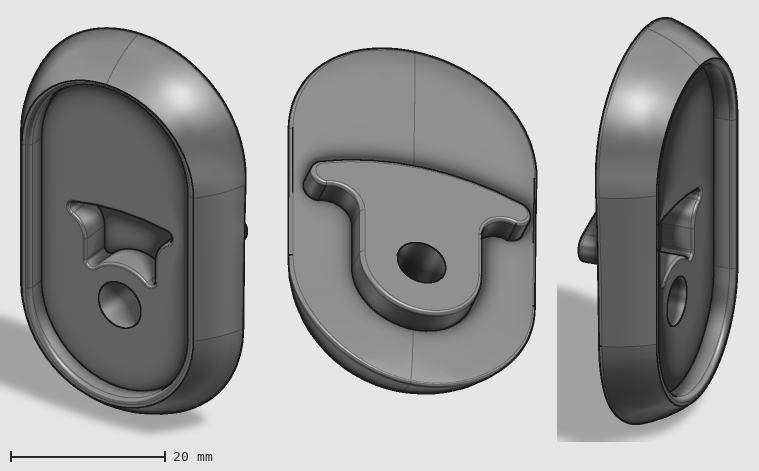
import cadquery as cq
import math

upper_center_z = 10.25
lower_center_z = -10.8
straight_length = upper_center_z - lower_center_z
front_y = -5.0
flank_mid = (15.85, -1.2)
flank_back = (17.15, 2.85)
flank_front = (12.5, -5.85)
back_edge_round = 0.45

back_curve = [(0.55, -28.4), (1.4, -24.6), (1.75, -16.4), (1.85, -2.75), (2.15, 10.1), (2.5, 18.05), (2.45, 28.4)]
front_tip_y = -5.85
body_reach = 28.4

tray_radius = 12.15
tray_floor_y = -2.2
tray_rim_round = 0.65

hole_center_z = lower_center_z
hole_radius = 3.3

boss_root_y = 0.0
boss_back_y = 5.45
boss_radius = 8.3
boss_half_width = 14.95
boss_neck_z = -3.95
boss_flare_end = (12.9, -0.9)
boss_tip_z = 1.2
boss_shoulder = (13.45, 3.05)
boss_top_z = 5.55
boss_edge_round = 0.55

recess_floor_y = 2.35
recess_top_z = 2.85
recess_shoulder = (7.2, 2.15)
recess_flare_end = (7.45, 0.5)
recess_neck_x = 5.35
recess_neck_top_z = -2.75
recess_neck_bottom_z = -5.8
recess_arc_radius = 5.95
recess_arc_x = 4.0
recess_edge_round = 0.4


def front_plane(y):
    """XZ sketch plane at the given Y, whose extrusions run toward +Y when negative."""
    return cq.Workplane("XZ", origin=(0, y, 0))


def flank_profile(plane):
    """Half section of the plate, from its middle out to the bulging flank."""
    return (
        plane.moveTo(0, flank_front[1])
        .lineTo(*flank_front)
        .threePointArc(flank_mid, flank_back)
        .lineTo(0, flank_back[1])
        .close()
    )


def oval(radius, y_start, y_end):
    middle_z = (upper_center_z + lower_center_z) / 2
    return (
        front_plane(y_start)
        .center(0, middle_z)
        .slot2D(straight_length + 2 * radius, 2 * radius, 90)
        .extrude(y_start - y_end)
    )


def make_plate():
    section = flank_profile(cq.Workplane("XY", origin=(0, 0, lower_center_z)))
    half = section.extrude(straight_length)
    for center_z, axis_end in ((lower_center_z, (0, 1)), (upper_center_z, (0, -1))):
        section = flank_profile(cq.Workplane("XY", origin=(0, 0, center_z)))
        half = half.union(section.revolve(90, (0, 0), axis_end))
    bend_rise = body_reach - upper_center_z
    bend_run = front_y - front_tip_y
    front_bend_radius = (bend_rise**2 + bend_run**2) / (2 * bend_run)
    envelope = (
        cq.Workplane("YZ")
        .moveTo(front_y, -body_reach)
        .lineTo(*back_curve[0])
        .spline(back_curve[1:], includeCurrent=True)
        .lineTo(front_tip_y, body_reach)
        .radiusArc((front_y, upper_center_z), front_bend_radius)
        .close()
        .extrude(body_reach, both=True)
    )
    half = half.intersect(envelope)
    half = half.faces(">Y").edges("not <X").fillet(back_edge_round)
    return half.union(half.mirror("YZ"))


def tray_rim_edges():
    """Box that holds the tray mouth edges but not the outer edges of the front face."""
    reach_x = tray_radius + 0.1
    reach_z = tray_radius + 0.3
    return cq.selectors.BoxSelector(
        (-reach_x, front_tip_y, lower_center_z - reach_z),
        (reach_x, front_y + 0.15, upper_center_z + reach_z),
        boundingbox=True,
    )


def mirrored(point):
    return (-point[0], point[1])


def make_boss():
    tip = (boss_half_width, boss_tip_z)
    neck = (boss_radius, boss_neck_z)
    side = (boss_radius, hole_center_z)
    boss = (
        front_plane(boss_root_y)
        .moveTo(*side)
        .lineTo(*neck)
        .tangentArcPoint(boss_flare_end, relative=False)
        .threePointArc(tip, boss_shoulder)
        .threePointArc((0, boss_top_z), mirrored(boss_shoulder))
        .threePointArc(mirrored(tip), mirrored(boss_flare_end))
        .radiusArc(mirrored(neck), flare_radius())
        .lineTo(*mirrored(side))
        .threePointArc((0, hole_center_z - boss_radius), side)
        .close()
        .extrude(boss_root_y - boss_back_y)
    )
    return boss.faces(">Y").edges().fillet(boss_edge_round)


def flare_radius():
    """Radius of the arc that leaves the boss neck vertically and meets the flare end."""
    run = boss_flare_end[0] - boss_radius
    rise = boss_flare_end[1] - boss_neck_z
    return (run**2 + rise**2) / (2 * run)


def half_recess():
    """Right half of the recess, drawn upward from the arc around the hole."""
    arc_end = (recess_arc_x, hole_center_z + math.sqrt(recess_arc_radius**2 - recess_arc_x**2))
    arc_mid_z = hole_center_z + math.sqrt(recess_arc_radius**2 - (recess_arc_x / 2) ** 2)
    top_radius = (recess_shoulder[0] ** 2 + (recess_top_z - recess_shoulder[1]) ** 2) / (
        2 * (recess_top_z - recess_shoulder[1])
    )
    return (
        front_plane(tray_floor_y)
        .moveTo(0, hole_center_z + recess_arc_radius)
        .threePointArc((recess_arc_x / 2, arc_mid_z), arc_end)
        .tangentArcPoint((recess_neck_x, recess_neck_bottom_z), relative=False)
        .lineTo(recess_neck_x, recess_neck_top_z)
        .tangentArcPoint(recess_flare_end, relative=False)
        .tangentArcPoint(recess_shoulder, relative=False)
        .radiusArc((0, recess_top_z), -top_radius)
    )


def make_recess():
    return half_recess().mirrorY().extrude(tray_floor_y - recess_floor_y)


def make_hole():
    return (
        front_plane(-body_reach)
        .center(0, hole_center_z)
        .circle(hole_radius)
        .extrude(-2 * body_reach)
    )


def mouth_edges(y):
    """Box around the recess mouth, for picking its rim edges."""
    margin = 0.05
    return cq.selectors.BoxSelector(
        (-2 * recess_neck_x, y - margin, hole_center_z + hole_radius),
        (2 * recess_neck_x, y + margin, recess_top_z + 0.55),
        boundingbox=True,
    )


result = make_plate().union(make_boss())
result = result.cut(oval(tray_radius, -body_reach, tray_floor_y))
result = result.edges(tray_rim_edges()).fillet(tray_rim_round)
result = result.cut(make_recess())
result = result.edges(mouth_edges(tray_floor_y)).fillet(recess_edge_round)
result = result.cut(make_hole())